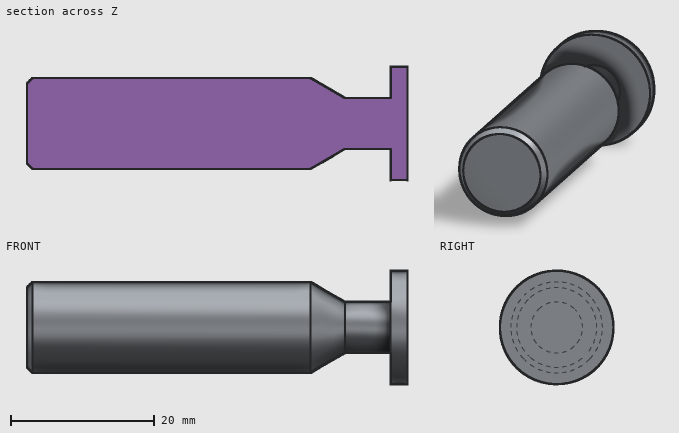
import cadquery as cq

total_length = 53.2
head_diameter = 15.9
head_thickness = 2.4
neck_diameter = 7.2
neck_length = 6.4
shank_diameter = 12.75
taper_length = 4.8
end_chamfer = 0.8

head_radius = head_diameter / 2
neck_radius = neck_diameter / 2
shank_radius = shank_diameter / 2
head_start = total_length - head_thickness
neck_start = head_start - neck_length
taper_start = neck_start - taper_length

half_profile = (
    cq.Workplane("XY")
    .moveTo(0, 0)
    .lineTo(0, shank_radius - end_chamfer)
    .lineTo(end_chamfer, shank_radius)
    .lineTo(taper_start, shank_radius)
    .lineTo(neck_start, neck_radius)
    .lineTo(head_start, neck_radius)
    .lineTo(head_start, head_radius)
    .lineTo(total_length, head_radius)
    .lineTo(total_length, 0)
    .close()
)

result = half_profile.revolve(360, (0, 0, 0), (1, 0, 0))